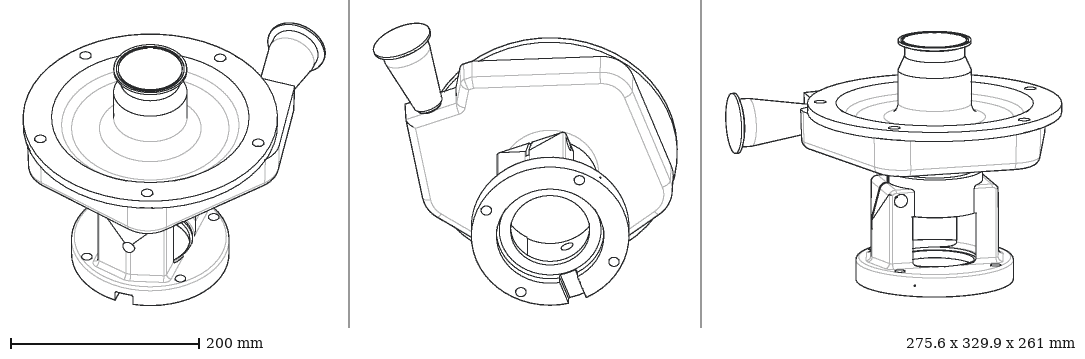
import cadquery as cq
import math


SELECTION_MARGIN = 0.1

BASE_RADIUS = 83.7
BASE_HEIGHT = 24.0
BASE_EDGE_FILLET = 3.0
BORE_RADIUS = 42.0
RECESS_RADIUS = 45.0
RECESS_DEPTH = 3.0
SPIGOT_RADIUS = 57.0
SPIGOT_DEPTH = 13.0
SPIGOT_CHAMFER = 3.0
BASE_HOLE_DIAMETER = 11.0
BASE_HOLE_CIRCLE = 74.5
BASE_HOLE_COUNT = 4
NOTCH_WIDTH = 20.0
NOTCH_HEIGHT = 12.5
NOTCH_CHAMFER = 1.5
PIN_HOLE_DIAMETER = 1.5
PIN_HOLE_DEPTH = 5.0
PIN_HOLE_ANGLE = 150.0

LEG_HALF_WIDTH = 38.7
LEG_TOP = 108.5
LEG_SIDE_Y = 59.2
LEG_RIDGE_Y = 69.6
LEG_RIDGE_HALF_WIDTH = 2.65
LEG_INNER_RADIUS = 52.0
LEG_SLOPE_START = 69.6
LEG_SLOPE_ANGLE = 15.4
LEG_FRONT_FILLET = 8.0
LEG_SIDE_FILLET = 3.0
LEG_FOOT_FILLET = 5.0
RIDGE_HOLE_DIAMETER = 13.2
RIDGE_HOLE_HEIGHT = 66.0
CLAMP_HOLE_DIAMETER = 14.2
CLAMP_HOLE_Y = 47.7
CLAMP_HOLE_HEIGHT = 97.0
CLAMP_SLIT_WIDTH = 3.3

COLLAR_RADIUS = 50.8
COLLAR_BOTTOM = 78.7
COLLAR_TOP = 120.0
NECK_RADIUS = 41.5
NECK_FLARE = 10.0

SIDES = 5
CASING_BOTTOM = 140.0
CASING_TOP = 182.0
CASING_APOTHEM = 115.4
CASING_CORNER_RADIUS = 35.0
CASING_DRAFT = 1.5
CASING_BOTTOM_FILLET = 9.0
OUTLET_FACE_Y = 110.0
OUTLET_FACE_RIGHT_X = 123.6
OUTLET_FACE_LEFT_X = 65.8
SHOULDER_X = 51.8
SHOULDER_Y = 134.0
SHOULDER_RADIUS = 6.0

FLANGE_RADIUS = 135.0
FLANGE_TOP = 192.0
DISH_DEPTH = 15.0
DISH_RADIUS = 104.8
DISH_FILLET = 15.0
FLANGE_HOLE_DIAMETER = 12.0
FLANGE_HOLE_CIRCLE = 121.6

STEM_RADIUS = 39.0
STEM_FILLET = DISH_DEPTH
STEM_SHOULDER = 228.0
STEM_NECK_START = 243.6
STEM_NECK_RADIUS = 32.0
STEM_TOP = 261.0
STEM_RIM_RADIUS = 38.8
RIM_THICKNESS = 2.9
RIM_TAPER = 2.4
GROOVE_OUTER_RADIUS = 36.0
GROOVE_INNER_RADIUS = 34.0
GROOVE_DEPTH = 1.0

OUTLET_X = 95.9
OUTLET_Z = 160.0
OUTLET_END_Y = 194.92
OUTLET_RIM_RADIUS = 32.0
OUTLET_TUBE_RADIUS = 25.6
OUTLET_TUBE_LENGTH = 18.0
OUTLET_SMALL_RADIUS = 15.7
OUTLET_ROOT_RADIUS = 13.0
OUTLET_ROOT_LENGTH = 3.7


def cylinder(radius, bottom, top):
    return cq.Workplane("XY").workplane(offset=bottom).circle(radius).extrude(top - bottom)


def polar_points(radius, count, start_angle):
    angles = [math.radians(start_angle + 360.0 * i / count) for i in range(count)]
    return [(radius * math.cos(a), radius * math.sin(a)) for a in angles]


def make_leg():
    """Leg on the +Y side: a ridged prism with a sloping upper front."""
    plan = [
        (-LEG_HALF_WIDTH, 0),
        (LEG_HALF_WIDTH, 0),
        (LEG_HALF_WIDTH, LEG_SIDE_Y),
        (LEG_RIDGE_HALF_WIDTH, LEG_RIDGE_Y),
        (-LEG_RIDGE_HALF_WIDTH, LEG_RIDGE_Y),
        (-LEG_HALF_WIDTH, LEG_SIDE_Y),
    ]
    leg = cq.Workplane("XY").workplane(offset=BASE_HEIGHT).polyline(plan).close()
    leg = leg.extrude(LEG_TOP - BASE_HEIGHT)

    slope_rise = LEG_TOP - LEG_SLOPE_START
    slope_run = slope_rise * math.tan(math.radians(LEG_SLOPE_ANGLE))
    side_shape = (
        cq.Workplane("YZ")
        .moveTo(0, BASE_HEIGHT)
        .lineTo(LEG_RIDGE_Y, BASE_HEIGHT)
        .lineTo(LEG_RIDGE_Y, LEG_SLOPE_START)
        .lineTo(LEG_RIDGE_Y - slope_run, LEG_TOP)
        .lineTo(0, LEG_TOP)
        .close()
        .extrude(LEG_HALF_WIDTH, both=True)
    )
    front_top_edge = cq.selectors.NearestToPointSelector((0, LEG_RIDGE_Y - slope_run, LEG_TOP))
    side_shape = side_shape.edges(front_top_edge).fillet(LEG_FRONT_FILLET)
    leg = leg.intersect(side_shape)

    for side in ("<X", ">X"):
        leg = leg.faces(side).edges("not (<Y or <Z)").fillet(LEG_SIDE_FILLET)
    return leg.cut(cylinder(LEG_INNER_RADIUS, BASE_HEIGHT, COLLAR_BOTTOM))


def make_base_and_legs():
    leg = make_leg()
    disc = cylinder(BASE_RADIUS, 0, BASE_HEIGHT).faces(">Z").edges().fillet(BASE_EDGE_FILLET)
    body = disc.union(leg).union(leg.mirror("XZ"))

    foot_reach = (LEG_RIDGE_Y + BASE_RADIUS - BASE_EDGE_FILLET) / 2
    foot_edges = cq.selectors.BoxSelector(
        (-foot_reach, -foot_reach, BASE_HEIGHT - SELECTION_MARGIN),
        (foot_reach, foot_reach, BASE_HEIGHT + SELECTION_MARGIN),
        boundingbox=True,
    )
    body = body.edges(foot_edges).fillet(LEG_FOOT_FILLET)

    body = body.cut(cylinder(BORE_RADIUS, 0, BASE_HEIGHT))
    body = body.cut(cylinder(RECESS_RADIUS, BASE_HEIGHT - RECESS_DEPTH, BASE_HEIGHT))
    spigot = cylinder(SPIGOT_RADIUS, 0, SPIGOT_DEPTH).faces(">Z").chamfer(SPIGOT_CHAMFER)
    body = body.cut(spigot)
    holes = (
        cq.Workplane("XY")
        .pushPoints(polar_points(BASE_HOLE_CIRCLE, BASE_HOLE_COUNT, 45))
        .circle(BASE_HOLE_DIAMETER / 2)
        .extrude(BASE_HEIGHT)
    )
    notch = (
        cq.Workplane("XY")
        .center(0, -BASE_RADIUS / 2)
        .rect(NOTCH_WIDTH, BASE_RADIUS)
        .extrude(NOTCH_HEIGHT)
        .edges("|Y and >Z")
        .chamfer(NOTCH_CHAMFER)
    )
    pin_hole = (
        cq.Workplane("YZ", origin=(BASE_RADIUS - PIN_HOLE_DEPTH, 0, BASE_HEIGHT / 2))
        .circle(PIN_HOLE_DIAMETER / 2)
        .extrude(2 * PIN_HOLE_DEPTH)
        .rotate((0, 0, 0), (0, 0, 1), PIN_HOLE_ANGLE)
    )
    return body.cut(holes).cut(notch).cut(pin_hole)


def make_casing():
    """Drafted pentagon body; the draft narrows it towards the bottom."""
    corners = polar_points(CASING_APOTHEM / math.cos(math.pi / SIDES), SIDES, 0)
    edge_angle = math.radians(1.5 * 360.0 / SIDES)
    shoulder_start_x = (CASING_APOTHEM - SHOULDER_Y * math.sin(edge_angle)) / math.cos(edge_angle)
    outline = [
        corners[0],
        (OUTLET_FACE_RIGHT_X, OUTLET_FACE_Y),
        (OUTLET_FACE_LEFT_X, OUTLET_FACE_Y),
        (SHOULDER_X, SHOULDER_Y),
        (shoulder_start_x, SHOULDER_Y),
    ] + corners[2:]
    casing = cq.Workplane("XY").workplane(offset=CASING_TOP).polyline(outline).close()
    casing = casing.extrude(CASING_BOTTOM - CASING_TOP, taper=CASING_DRAFT)

    def upright_edge(point):
        return cq.selectors.NearestToPointSelector((*point, (CASING_BOTTOM + CASING_TOP) / 2))

    for corner in [corners[0]] + corners[2:]:
        casing = casing.edges(upright_edge(corner)).fillet(CASING_CORNER_RADIUS)
    casing = casing.edges(upright_edge((SHOULDER_X, SHOULDER_Y))).fillet(SHOULDER_RADIUS)
    return casing.faces("<Z").edges().fillet(CASING_BOTTOM_FILLET)


def make_collar_and_neck():
    """Turned collar and neck that flares into the casing underside."""
    bend = NECK_FLARE * (1 - math.sqrt(0.5))
    profile = (
        cq.Workplane("XZ")
        .moveTo(0, COLLAR_BOTTOM)
        .lineTo(COLLAR_RADIUS, COLLAR_BOTTOM)
        .lineTo(COLLAR_RADIUS, COLLAR_TOP)
        .lineTo(NECK_RADIUS, COLLAR_TOP)
        .lineTo(NECK_RADIUS, CASING_BOTTOM - NECK_FLARE)
        .threePointArc(
            (NECK_RADIUS + bend, CASING_BOTTOM - bend),
            (NECK_RADIUS + NECK_FLARE, CASING_BOTTOM),
        )
        .lineTo(0, CASING_BOTTOM)
        .close()
    )
    return profile.revolve(360, (0, 0, 0), (0, 1, 0))


def make_dish():
    """Ring-shaped hollow: 45 degree wall, rounded floor corner, rounded stem foot."""
    floor = FLANGE_TOP - DISH_DEPTH
    arc_angle = math.radians(45)
    arc_rise = DISH_FILLET * (1 - math.cos(arc_angle))
    wall_foot_radius = DISH_RADIUS - (DISH_DEPTH - arc_rise)
    floor_radius = wall_foot_radius - DISH_FILLET * math.sin(arc_angle)
    half_angle = arc_angle / 2
    arc_middle = (
        floor_radius + DISH_FILLET * math.sin(half_angle),
        floor + DISH_FILLET * (1 - math.cos(half_angle)),
    )
    bend = STEM_FILLET * (1 - math.sqrt(0.5))
    profile = (
        cq.Workplane("XZ")
        .moveTo(DISH_RADIUS, FLANGE_TOP)
        .lineTo(wall_foot_radius, floor + arc_rise)
        .threePointArc(arc_middle, (floor_radius, floor))
        .lineTo(STEM_RADIUS + STEM_FILLET, floor)
        .threePointArc((STEM_RADIUS + bend, floor + bend), (STEM_RADIUS, FLANGE_TOP))
        .close()
    )
    return profile.revolve(360, (0, 0, 0), (0, 1, 0))


def make_flange_holes():
    return (
        cq.Workplane("XY")
        .workplane(offset=CASING_TOP)
        .pushPoints(polar_points(FLANGE_HOLE_CIRCLE, SIDES, 0))
        .circle(FLANGE_HOLE_DIAMETER / 2)
        .extrude(FLANGE_TOP - CASING_TOP)
    )


def make_stem():
    """Inlet stem with a clamp rim and a shallow gasket groove on its end."""
    profile = (
        cq.Workplane("XZ")
        .moveTo(0, CASING_TOP)
        .lineTo(0, STEM_TOP)
        .lineTo(STEM_RIM_RADIUS, STEM_TOP)
        .lineTo(STEM_RIM_RADIUS, STEM_TOP - RIM_THICKNESS)
        .lineTo(STEM_NECK_RADIUS, STEM_TOP - RIM_THICKNESS - RIM_TAPER)
        .lineTo(STEM_NECK_RADIUS, STEM_NECK_START)
        .lineTo(STEM_RADIUS, STEM_SHOULDER)
        .lineTo(STEM_RADIUS, CASING_TOP)
        .close()
    )
    stem = profile.revolve(360, (0, 0, 0), (0, 1, 0))
    groove = cylinder(GROOVE_OUTER_RADIUS, STEM_TOP - GROOVE_DEPTH, STEM_TOP)
    groove = groove.cut(cylinder(GROOVE_INNER_RADIUS, STEM_TOP - GROOVE_DEPTH, STEM_TOP))
    return stem.cut(groove)


def make_outlet():
    """Conical nozzle, turned about an axis parallel to Y."""
    root_in_casing = OUTLET_FACE_Y - 2 * OUTLET_ROOT_LENGTH
    profile = (
        cq.Workplane("XY", origin=(OUTLET_X, 0, OUTLET_Z))
        .moveTo(0, OUTLET_END_Y)
        .lineTo(OUTLET_RIM_RADIUS, OUTLET_END_Y)
        .lineTo(OUTLET_RIM_RADIUS, OUTLET_END_Y - RIM_THICKNESS)
        .lineTo(OUTLET_TUBE_RADIUS, OUTLET_END_Y - RIM_THICKNESS - RIM_TAPER)
        .lineTo(OUTLET_TUBE_RADIUS, OUTLET_END_Y - OUTLET_TUBE_LENGTH)
        .lineTo(OUTLET_SMALL_RADIUS, OUTLET_FACE_Y + OUTLET_ROOT_LENGTH)
        .lineTo(OUTLET_ROOT_RADIUS, OUTLET_FACE_Y)
        .lineTo(OUTLET_ROOT_RADIUS, root_in_casing)
        .lineTo(0, root_in_casing)
        .close()
    )
    return profile.revolve(360, (0, 0, 0), (0, 1, 0))


def make_clamp_cuts():
    """Ridge hole in the -Y leg; cross hole and clamp slit in the +Y leg."""
    ridge_hole = (
        cq.Workplane("XZ", origin=(0, 0, RIDGE_HOLE_HEIGHT))
        .circle(RIDGE_HOLE_DIAMETER / 2)
        .extrude(BASE_RADIUS)
    )
    cross_hole = (
        cq.Workplane("YZ", origin=(0, CLAMP_HOLE_Y, CLAMP_HOLE_HEIGHT))
        .circle(CLAMP_HOLE_DIAMETER / 2)
        .extrude(LEG_HALF_WIDTH, both=True)
    )
    slit_bottom = RIDGE_HOLE_HEIGHT - RIDGE_HOLE_DIAMETER / 2
    slit = cq.Workplane("XY").box(
        CLAMP_SLIT_WIDTH,
        BASE_RADIUS - NECK_RADIUS,
        COLLAR_TOP - slit_bottom,
        centered=(True, False, False),
    )
    return ridge_hole.union(cross_hole).union(slit.translate((0, NECK_RADIUS, slit_bottom)))


bracket = make_base_and_legs().union(make_collar_and_neck()).cut(make_clamp_cuts())
casing_and_flange = make_casing().union(cylinder(FLANGE_RADIUS, CASING_TOP, FLANGE_TOP))
casing_and_flange = casing_and_flange.union(make_stem()).cut(make_dish()).cut(make_flange_holes())
result = bracket.union(casing_and_flange).union(make_outlet())